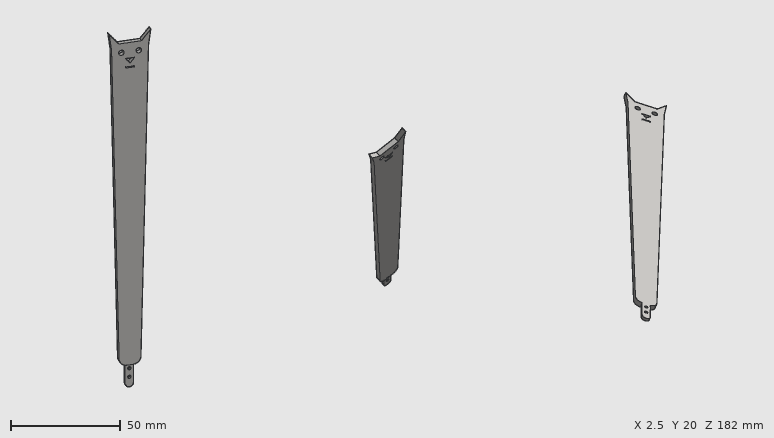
import cadquery as cq

total_height = 182.0
body_thickness = 2.5
tongue_thickness = 1.5

ear_tip_half_width = 10.0
brow_half_width = 5.5
brow_z = 176.7
cheek_half_width = 9.0
cheek_z = 174.0
base_half_width = 5.3
shoulder_z = 11.8
shoulder_radius = 3.6

tongue_half_width = 2.0
pin_hole_diameter = 1.5
pin_hole_heights = (5.1, 9.5)

flat_half_width = base_half_width - shoulder_radius

side_start_z = shoulder_z + shoulder_radius

eye_diameter = 2.5
eye_offset = 4.2
eye_z = 172.0
nose_half_width = 2.2
nose_top_z = 168.7
nose_tip_z = 166.1
mouth_width = 4.0
mouth_height = 0.5
mouth_z = 164.1

CUT_DEPTH = 2 * body_thickness


def face_plane():
    """Back face of the strip at X = 0, sketched in (Y, Z), extruding along +X."""
    return cq.Workplane("YZ")


def make_body():
    """Tapered strip with two pointed ears and rounded lower shoulders."""
    diagonal = shoulder_radius * 0.5 ** 0.5
    arc_mid_y = flat_half_width + diagonal
    arc_mid_z = side_start_z - diagonal
    return (
        face_plane()
        .moveTo(-flat_half_width, shoulder_z)
        .lineTo(flat_half_width, shoulder_z)
        .threePointArc((arc_mid_y, arc_mid_z), (base_half_width, side_start_z))
        .lineTo(cheek_half_width, cheek_z)
        .lineTo(ear_tip_half_width, total_height)
        .lineTo(brow_half_width, brow_z)
        .lineTo(-brow_half_width, brow_z)
        .lineTo(-ear_tip_half_width, total_height)
        .lineTo(-cheek_half_width, cheek_z)
        .lineTo(-base_half_width, side_start_z)
        .threePointArc((-arc_mid_y, arc_mid_z), (-flat_half_width, shoulder_z))
        .close()
        .extrude(body_thickness)
    )


def make_tongue():
    """Thin round-ended tongue, flush with the body at X = 0."""
    return (
        face_plane()
        .moveTo(-tongue_half_width, side_start_z)
        .lineTo(-tongue_half_width, tongue_half_width)
        .threePointArc((0, 0), (tongue_half_width, tongue_half_width))
        .lineTo(tongue_half_width, side_start_z)
        .close()
        .extrude(tongue_thickness)
    )


def make_holes(centers, diameter):
    """Round through holes at (Y, Z) centers."""
    return face_plane().pushPoints(centers).circle(diameter / 2).extrude(CUT_DEPTH)


def make_nose():
    """Triangular opening pointing down."""
    return (
        face_plane()
        .moveTo(-nose_half_width, nose_top_z)
        .lineTo(nose_half_width, nose_top_z)
        .lineTo(0, nose_tip_z)
        .close()
        .extrude(CUT_DEPTH)
    )


def make_mouth():
    """Narrow straight slot."""
    return face_plane().center(0, mouth_z).rect(mouth_width, mouth_height).extrude(CUT_DEPTH)


eyes = make_holes([(-eye_offset, eye_z), (eye_offset, eye_z)], eye_diameter)
pin_holes = make_holes([(0, z) for z in pin_hole_heights], pin_hole_diameter)

result = make_body().union(make_tongue())
for opening in (eyes, pin_holes, make_nose(), make_mouth()):
    result = result.cut(opening)